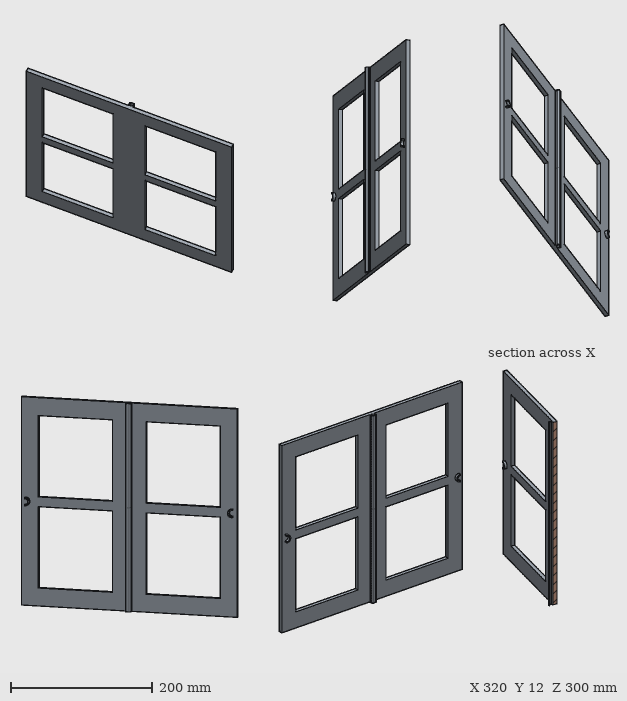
import cadquery as cq
import math

panel_width = 320.0
panel_height = 300.0
total_depth = 12.0
panel_thickness = total_depth / 2

side_margin = 25.0
end_margin = 26.0
mullion_width = 50.0
rail_height = 14.0
window_width = (panel_width - 2 * side_margin - mullion_width) / 2
window_height = (panel_height - 2 * end_margin - rail_height) / 2

sleeve_width = 8.0
sleeve_depth = total_depth - panel_thickness
sleeve_center_y = sleeve_depth / 2
sleeve_bore = 5.5
sleeve_fillet = 2.0

groove_width = 2.0
groove_depth = 0.3
groove_center_y = 2.0

clip_outer_radius = 6.0
clip_wall = 2.0
clip_inner_radius = clip_outer_radius - clip_wall
clip_height = 4.0
clip_center_x = 153.3
clip_overrun = math.radians(7)


def make_panel():
    panel = (
        cq.Workplane("XY")
        .box(panel_width, panel_thickness, panel_height)
        .translate((0, -panel_thickness / 2, 0))
    )
    windows = (
        cq.Workplane("XZ")
        .rarray(window_width + mullion_width, window_height + rail_height, 2, 2)
        .rect(window_width, window_height)
        .extrude(panel_thickness)
    )
    return panel.cut(windows)


def make_sleeve():
    body = (
        cq.Workplane("XY")
        .box(sleeve_width, sleeve_depth, panel_height)
        .edges("|Z and >Y")
        .fillet(sleeve_fillet)
        .translate((0, sleeve_center_y, 0))
    )
    bore = (
        cq.Workplane("XY")
        .center(0, sleeve_center_y)
        .circle(sleeve_bore / 2)
        .extrude(panel_height, both=True)
    )
    grooves = (
        cq.Workplane("XY")
        .pushPoints([(side * sleeve_width / 2, groove_center_y) for side in (-1, 1)])
        .rect(2 * groove_depth, groove_width)
        .extrude(panel_height, both=True)
    )
    return body.cut(bore).cut(grooves)


def make_clip(side):
    """Ring wall a little over a half turn, open toward the panel side given by side (-1 or 1)."""
    center_x = side * clip_center_x

    def arm_end(radius, z_sign):
        return (
            center_x + side * radius * math.sin(clip_overrun),
            z_sign * radius * math.cos(clip_overrun),
        )

    return (
        cq.Workplane("XZ")
        .moveTo(*arm_end(clip_outer_radius, 1))
        .threePointArc((center_x - side * clip_outer_radius, 0), arm_end(clip_outer_radius, -1))
        .lineTo(*arm_end(clip_inner_radius, -1))
        .threePointArc((center_x - side * clip_inner_radius, 0), arm_end(clip_inner_radius, 1))
        .close()
        .extrude(-clip_height)
    )


result = make_panel().union(make_sleeve())
for clip_side in (-1, 1):
    result = result.union(make_clip(clip_side))